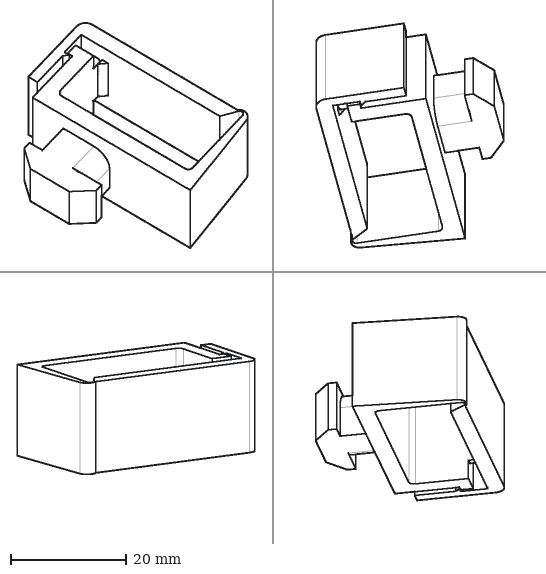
import cadquery as cq
import math

LENGTH = 37.53
BAND_WIDTH = 16.2

FLOOR_Y = 3.3
POST_LEFT_X = 3.35
POST_RIGHT_X = 6.25
CAVITY_RIGHT_X = 34.85
CAVITY_RADIUS = 0.95

CATCH_LEFT_X = 2.35
CATCH_BOTTOM_Y = 11.5
CATCH_TOP_Y = 13.75
NECK_LEFT_X = 5.0
LIP_BOTTOM_Y = 14.9
LIP_TOP_Y = 16.0
LIP_RADIUS = 0.75
LIP_WIDTH = 9.1

ARM_TOP_Y = 19.15
ARM_BOTTOM_Y = 16.18
ARM_END_X = 31.83
ARM_CORNER_RADIUS = 2.0
LEG_THICKNESS = 2.0
LEG_RELIEF_THICKNESS = 1.75
LEG_BOTTOM_Y = 3.23
BARB_TIP_X = 2.8
BARB_TOP_Y = 11.37
BARB_BOTTOM_Y = 10.5

STOP_CLEARANCE = 0.05
STOP_LENGTH = 1.28
STOP_DEPTH = 1.2

HINGE_X = 34.53
HINGE_Y = 18.1
HINGE_RADIUS = 1.55
SLOT_RADIUS = 0.6
SLOT_X = CAVITY_RIGHT_X - SLOT_RADIUS
SLOT_Y = 18.7

KNOB_X = 15.0
KNOB_WIDTH = 9.1
STEM_LENGTH = 10.02
STEM_HEIGHT = 6.05
STEM_RADIUS = 3.5
HEAD_LENGTH = 15.6
HEAD_TIP_LENGTH = 8.4
HEAD_RIM = 1.55
KNOB_HEIGHT = 10.6


def on_circle(center, radius, angle):
    return (center[0] + radius * math.cos(angle), center[1] + radius * math.sin(angle))


def tangent_angle(point, center, radius, side):
    """Angle on the circle where a line from the point touches it; side is +1 or -1."""
    dx = point[0] - center[0]
    dy = point[1] - center[1]
    return math.atan2(dy, dx) + side * math.acos(radius / math.hypot(dx, dy))


def clip_band():
    hinge = (HINGE_X, HINGE_Y)
    slot = (SLOT_X, SLOT_Y)
    base_right = (LENGTH, 0)
    arm_end = (ARM_END_X, ARM_BOTTOM_Y)

    wall_angle = tangent_angle(base_right, hinge, HINGE_RADIUS, 1)
    arm_angle = math.pi - math.asin((ARM_TOP_Y - HINGE_Y) / HINGE_RADIUS)
    hinge_mid_angle = (wall_angle + arm_angle) / 2

    slope_angle = tangent_angle(arm_end, slot, SLOT_RADIUS, -1) % (2 * math.pi)

    outline = (
        cq.Workplane("XY")
        .moveTo(POST_LEFT_X, 0)
        .lineTo(*base_right)
        .lineTo(*on_circle(hinge, HINGE_RADIUS, wall_angle))
        .threePointArc(
            on_circle(hinge, HINGE_RADIUS, hinge_mid_angle),
            on_circle(hinge, HINGE_RADIUS, arm_angle),
        )
        .lineTo(ARM_CORNER_RADIUS, ARM_TOP_Y)
        .radiusArc((0, ARM_TOP_Y - ARM_CORNER_RADIUS), -ARM_CORNER_RADIUS)
        .lineTo(0, LEG_BOTTOM_Y)
        .lineTo(LEG_THICKNESS, LEG_BOTTOM_Y)
        .lineTo(LEG_THICKNESS, BARB_BOTTOM_Y)
        .lineTo(BARB_TIP_X, BARB_TOP_Y)
        .lineTo(LEG_RELIEF_THICKNESS, BARB_TOP_Y)
        .lineTo(LEG_RELIEF_THICKNESS, ARM_BOTTOM_Y)
        .lineTo(*arm_end)
        .lineTo(*on_circle(slot, SLOT_RADIUS, slope_angle))
        .threePointArc(
            on_circle(slot, SLOT_RADIUS, slope_angle / 2),
            (CAVITY_RIGHT_X, SLOT_Y),
        )
        .lineTo(CAVITY_RIGHT_X, FLOOR_Y + CAVITY_RADIUS)
        .radiusArc((CAVITY_RIGHT_X - CAVITY_RADIUS, FLOOR_Y), CAVITY_RADIUS)
        .lineTo(POST_RIGHT_X + CAVITY_RADIUS, FLOOR_Y)
        .radiusArc((POST_RIGHT_X, FLOOR_Y + CAVITY_RADIUS), CAVITY_RADIUS)
        .lineTo(POST_RIGHT_X, CATCH_TOP_Y)
        .lineTo(CATCH_LEFT_X, CATCH_TOP_Y)
        .lineTo(CATCH_LEFT_X, CATCH_BOTTOM_Y)
        .lineTo(POST_LEFT_X, CATCH_BOTTOM_Y)
        .close()
    )
    return outline.extrude(BAND_WIDTH / 2, both=True)


def hooked_lip():
    outline = (
        cq.Workplane("XY")
        .moveTo(POST_RIGHT_X, CATCH_TOP_Y)
        .lineTo(POST_RIGHT_X, LIP_TOP_Y - LIP_RADIUS)
        .radiusArc((POST_RIGHT_X - LIP_RADIUS, LIP_TOP_Y), -LIP_RADIUS)
        .lineTo(POST_LEFT_X, LIP_TOP_Y)
        .lineTo(POST_LEFT_X, LIP_BOTTOM_Y)
        .lineTo(NECK_LEFT_X, LIP_BOTTOM_Y)
        .lineTo(NECK_LEFT_X, CATCH_TOP_Y)
        .close()
    )
    return outline.extrude(LIP_WIDTH / 2, both=True)


def stop_wedge():
    outline = (
        cq.Workplane("XY")
        .moveTo(POST_RIGHT_X + STOP_CLEARANCE, ARM_BOTTOM_Y)
        .line(0, -STOP_DEPTH)
        .line(STOP_LENGTH, STOP_DEPTH)
        .close()
    )
    return outline.extrude(LIP_WIDTH / 2, both=True)


def knob_stem():
    top_y = FLOOR_Y / 2
    stem = cq.Workplane("XY").box(STEM_LENGTH, STEM_HEIGHT + top_y, KNOB_WIDTH)
    stem = stem.edges("(>X and >Z) or (<X and <Z)").fillet(STEM_RADIUS)
    return stem.translate((KNOB_X, (top_y - STEM_HEIGHT) / 2, 0))


def knob_head():
    rim_y = -STEM_HEIGHT - HEAD_RIM
    outline = cq.Workplane("XY").polyline([
        (KNOB_X - HEAD_LENGTH / 2, -STEM_HEIGHT),
        (KNOB_X - HEAD_LENGTH / 2, rim_y),
        (KNOB_X - HEAD_TIP_LENGTH / 2, -KNOB_HEIGHT),
        (KNOB_X + HEAD_TIP_LENGTH / 2, -KNOB_HEIGHT),
        (KNOB_X + HEAD_LENGTH / 2, rim_y),
        (KNOB_X + HEAD_LENGTH / 2, -STEM_HEIGHT),
    ]).close()
    return outline.extrude(KNOB_WIDTH / 2, both=True)


result = clip_band()
for feature in (hooked_lip(), stop_wedge(), knob_stem(), knob_head()):
    result = result.union(feature)